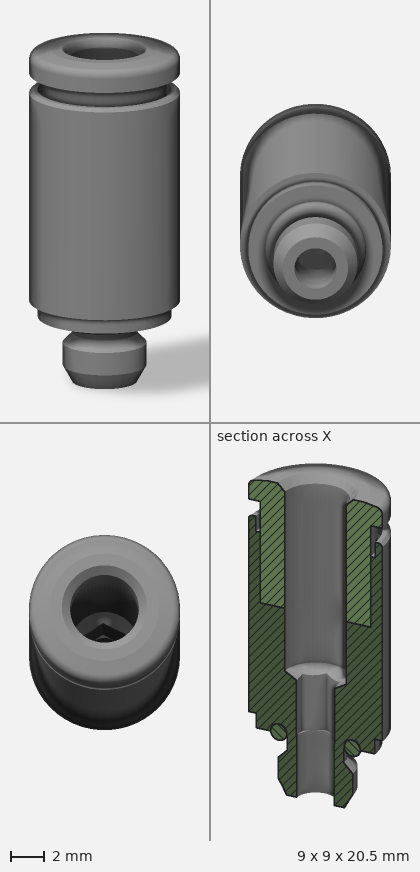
import cadquery as cq
import math

total_height = 20.5
outer_radius = 9.0 / 2

collar_bottom = 19.0
collar_flat_radius = 6.5 / 2
collar_slope = math.radians(10)
collar_fillet = 0.5
neck_radius = 7.4 / 2
sleeve_bottom = 12.3
tube_radius = 4.1 / 2
mouth_radius = 5.08 / 2
mouth_depth = 0.5

housing_top = 18.0
housing_bottom = 4.96
housing_chamfer = 0.2
clearance_radius = 8.0 / 2
clearance_depth = 1.0
flange_radius = 8.0 / 2
flange_bottom = 4.0
groove_radius = 3.8 / 2
groove_bottom = 3.0
barb_radius = 5.0 / 2
barb_shoulder = groove_bottom - (barb_radius - groove_radius)
barb_bottom = 1.0
tip_radius = 3.87 / 2

tube_stop = 8.2
hex_flats = 2.52
hex_bottom = 4.1
seat_drop = 0.47
through_radius = 2.5 / 2

ring_tube_radius = 0.55
ring_center_radius = 2.45
ring_bottom = 3.5


def revolve_profile(profile):
    """Turn a closed (radius, height) outline around the Z axis."""
    return profile.close().revolve(360, (0, 0, 0), (0, 1, 0))


def make_release_sleeve():
    fillet_center_radius = outer_radius - collar_fillet
    fillet_start_radius = fillet_center_radius + collar_fillet * math.sin(collar_slope)
    fillet_start_height = total_height - (fillet_start_radius - collar_flat_radius) * math.tan(collar_slope)
    fillet_end_height = fillet_start_height - collar_fillet * math.cos(collar_slope)
    middle_angle = (math.pi / 2 - collar_slope) / 2
    fillet_middle = (
        fillet_center_radius + collar_fillet * math.cos(middle_angle),
        fillet_end_height + collar_fillet * math.sin(middle_angle),
    )
    return revolve_profile(
        cq.Workplane("XZ")
        .moveTo(tube_radius, sleeve_bottom)
        .lineTo(neck_radius, sleeve_bottom)
        .lineTo(neck_radius, collar_bottom)
        .lineTo(outer_radius, collar_bottom)
        .lineTo(outer_radius, fillet_end_height)
        .threePointArc(fillet_middle, (fillet_start_radius, fillet_start_height))
        .lineTo(collar_flat_radius, total_height)
        .lineTo(mouth_radius, total_height)
        .lineTo(tube_radius, total_height - mouth_depth)
    )


def make_seal_ring():
    ring_height = ring_bottom + ring_tube_radius
    return (
        cq.Workplane("XZ")
        .center(ring_center_radius, ring_height)
        .circle(ring_tube_radius)
        .revolve(360, (-ring_center_radius, 0, 0), (-ring_center_radius, 1, 0))
    )


def make_housing(seal_ring):
    blank = revolve_profile(
        cq.Workplane("XZ")
        .moveTo(0, 0)
        .lineTo(tip_radius, 0)
        .lineTo(barb_radius, barb_bottom)
        .lineTo(barb_radius, barb_shoulder)
        .lineTo(groove_radius, groove_bottom)
        .lineTo(groove_radius, flange_bottom)
        .lineTo(flange_radius, flange_bottom)
        .lineTo(flange_radius, housing_bottom)
        .lineTo(outer_radius, housing_bottom)
        .lineTo(outer_radius, housing_top - housing_chamfer)
        .lineTo(outer_radius - housing_chamfer, housing_top)
        .lineTo(0, housing_top)
    )
    cavity = revolve_profile(
        cq.Workplane("XZ")
        .moveTo(0, housing_top)
        .lineTo(clearance_radius, housing_top)
        .lineTo(clearance_radius, housing_top - clearance_depth)
        .lineTo(neck_radius, housing_top - clearance_depth)
        .lineTo(neck_radius, sleeve_bottom)
        .lineTo(tube_radius, sleeve_bottom)
        .lineTo(tube_radius, tube_stop)
        .lineTo(through_radius, tube_stop - seat_drop)
        .lineTo(0, tube_stop - seat_drop)
    )
    hex_socket = (
        cq.Workplane("XY")
        .workplane(offset=hex_bottom)
        .polygon(6, hex_flats / math.cos(math.pi / 6))
        .extrude(tube_stop - hex_bottom)
    )
    through_hole = cq.Workplane("XY").circle(through_radius).extrude(tube_stop)
    return blank.cut(cavity).cut(hex_socket).cut(through_hole).cut(seal_ring)


release_sleeve = make_release_sleeve()
seal_ring = make_seal_ring()
housing = make_housing(seal_ring)

result = cq.Compound.makeCompound([release_sleeve.val(), seal_ring.val(), housing.solids().val()])